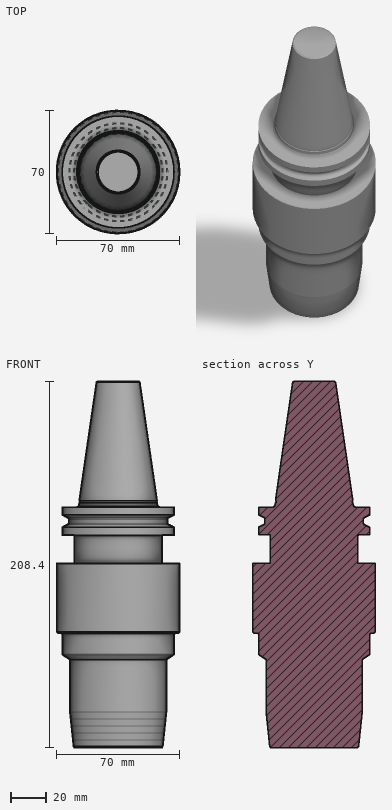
import cadquery as cq
import math


TAPER_RATIO = 7 / 24
GAUGE_DIAMETER = 44.45
SHANK_LENGTH = 68.4
SHANK_CHAMFER_LENGTH = 0.6
SHANK_CHAMFER_DEPTH = 0.8

RELIEF_TOP_Z = 0.5
RELIEF_BOTTOM_Z = -0.8
RELIEF_DEPTH = 0.55
ROOT_BREAK_Z = -1.4
ROOT_FLARE_Z = -2.6
ROOT_FLARE_DIAMETER = 45.2
ROOT_FLANGE_DIAMETER = 47.0

FLANGE_DIAMETER = 63.55
FLANGE_TOP_Z = -3.2
FLANGE_BOTTOM_Z = -19.1
GROOVE_CENTER_Z = -11.1
GROOVE_MOUTH_WIDTH = 7.0
GROOVE_FLOOR_WIDTH = 3.3
GROOVE_TOP_Z = GROOVE_CENTER_Z + GROOVE_MOUTH_WIDTH / 2
GROOVE_BOTTOM_Z = GROOVE_CENTER_Z - GROOVE_MOUTH_WIDTH / 2
GROOVE_FLOOR_TOP_Z = GROOVE_CENTER_Z + GROOVE_FLOOR_WIDTH / 2
GROOVE_FLOOR_BOTTOM_Z = GROOVE_CENTER_Z - GROOVE_FLOOR_WIDTH / 2
GROOVE_FLOOR_DIAMETER = 56.25
GROOVE_FILLET = 0.8

NECK_DIAMETER = 50.0
COLLAR_DIAMETER = 70.0
COLLAR_TOP_Z = -35.0
COLLAR_BOTTOM_Z = -75.0
COLLAR_TOP_CHAMFER = 0.3
COLLAR_BOTTOM_CHAMFER = 1.0
ROOT_FILLET = 0.5

SHOULDER_DIAMETER = FLANGE_DIAMETER
SHOULDER_BOTTOM_Z = -86.9
SHOULDER_FILLET = 0.5
SLEEVE_DIAMETER = 55.0
SLEEVE_TOP_Z = -89.8
NOSE_TOP_Z = -119.4
NOSE_BOTTOM_Z = -140.0
NOSE_HALF_ANGLE = 6.0
NOSE_CHAMFER_LENGTH = 1.0
NOSE_CHAMFER_DEPTH = 0.6
NOSE_BAND_COUNT = 5
NOSE_BAND_HEIGHT = 4.0

TOLERANCE = 0.001


def taper_radius(z):
    """Radius of the taper shank at height z."""
    return (GAUGE_DIAMETER - TAPER_RATIO * z) / 2


def nose_radius(z):
    """Radius of the tapered nose at height z."""
    return SLEEVE_DIAMETER / 2 - (NOSE_TOP_Z - z) * math.tan(math.radians(NOSE_HALF_ANGLE))


def shank_points():
    """Half outline of the shank, from the chamfered tip down to the relief ring."""
    tip_radius = taper_radius(SHANK_LENGTH) - SHANK_CHAMFER_DEPTH
    chamfer_z = SHANK_LENGTH - SHANK_CHAMFER_LENGTH
    return [
        (tip_radius, SHANK_LENGTH),
        (taper_radius(chamfer_z), chamfer_z),
        (taper_radius(RELIEF_TOP_Z), RELIEF_TOP_Z),
    ]


def flange_points():
    """Half outline of the flared root, the flange and its V groove."""
    root = GAUGE_DIAMETER / 2
    rim = FLANGE_DIAMETER / 2
    floor = GROOVE_FLOOR_DIAMETER / 2
    return [
        (root, ROOT_BREAK_Z),
        (ROOT_FLARE_DIAMETER / 2, ROOT_FLARE_Z),
        (ROOT_FLANGE_DIAMETER / 2, FLANGE_TOP_Z),
        (rim, FLANGE_TOP_Z),
        (rim, GROOVE_TOP_Z),
        (floor, GROOVE_FLOOR_TOP_Z),
        (floor, GROOVE_FLOOR_BOTTOM_Z),
        (rim, GROOVE_BOTTOM_Z),
        (rim, FLANGE_BOTTOM_Z),
    ]


def collar_points():
    """Half outline of the neck and the chamfered collar."""
    neck = NECK_DIAMETER / 2
    rim = COLLAR_DIAMETER / 2
    return [
        (neck, FLANGE_BOTTOM_Z),
        (neck, COLLAR_TOP_Z),
        (rim - COLLAR_TOP_CHAMFER, COLLAR_TOP_Z),
        (rim, COLLAR_TOP_Z - COLLAR_TOP_CHAMFER),
        (rim, COLLAR_BOTTOM_Z + COLLAR_BOTTOM_CHAMFER),
        (rim - COLLAR_BOTTOM_CHAMFER, COLLAR_BOTTOM_Z),
    ]


def sleeve_points():
    """Half outline of the shoulder, the sleeve and the nose, which is one cone parted into bands."""
    shoulder = SHOULDER_DIAMETER / 2
    band_tops = [NOSE_TOP_Z - band * NOSE_BAND_HEIGHT for band in range(NOSE_BAND_COUNT)]
    chamfer_z = NOSE_BOTTOM_Z + NOSE_CHAMFER_LENGTH
    return [
        (shoulder, COLLAR_BOTTOM_Z),
        (shoulder, SHOULDER_BOTTOM_Z),
        (SLEEVE_DIAMETER / 2, SLEEVE_TOP_Z),
        *[(nose_radius(z), z) for z in band_tops],
        (nose_radius(chamfer_z), chamfer_z),
        (nose_radius(chamfer_z) - NOSE_CHAMFER_DEPTH, NOSE_BOTTOM_Z),
    ]


def turned_body():
    """Solid of revolution without the small fillets."""
    relief_middle_z = (RELIEF_TOP_Z + RELIEF_BOTTOM_Z) / 2
    relief_middle = (taper_radius(relief_middle_z) - RELIEF_DEPTH, relief_middle_z)
    relief_end = (GAUGE_DIAMETER / 2, RELIEF_BOTTOM_Z)
    outline = cq.Workplane("XZ").moveTo(0, SHANK_LENGTH).polyline(shank_points(), includeCurrent=True)
    outline = outline.threePointArc(relief_middle, relief_end)
    lower_points = flange_points() + collar_points() + sleeve_points()
    outline = outline.polyline(lower_points, includeCurrent=True).lineTo(0, NOSE_BOTTOM_Z).close()
    return outline.revolve(360, (0, 0, 0), (0, 1, 0), clean=False).val()


def is_ring(edge, diameter, z):
    """Whether the edge is the circle of the given diameter at height z."""
    if edge.geomType() != "CIRCLE":
        return False
    same_diameter = abs(2 * edge.radius() - diameter) < TOLERANCE
    same_height = abs(edge.startPoint().z - z) < TOLERANCE
    return same_diameter and same_height


def fillet_ring(body, diameter, z, fillet_radius):
    """Round the circular edge of the given diameter at height z."""
    ring = [edge for edge in body.Edges() if is_ring(edge, diameter, z)]
    return body.fillet(fillet_radius, ring).Solids()[0]


body = turned_body()
body = fillet_ring(body, GROOVE_FLOOR_DIAMETER, GROOVE_FLOOR_TOP_Z, GROOVE_FILLET)
body = fillet_ring(body, GROOVE_FLOOR_DIAMETER, GROOVE_FLOOR_BOTTOM_Z, GROOVE_FILLET)
body = fillet_ring(body, NECK_DIAMETER, FLANGE_BOTTOM_Z, ROOT_FILLET)
body = fillet_ring(body, SHOULDER_DIAMETER, COLLAR_BOTTOM_Z, ROOT_FILLET)
body = fillet_ring(body, SHOULDER_DIAMETER, SHOULDER_BOTTOM_Z, SHOULDER_FILLET)
result = cq.Workplane("XY").newObject([body])